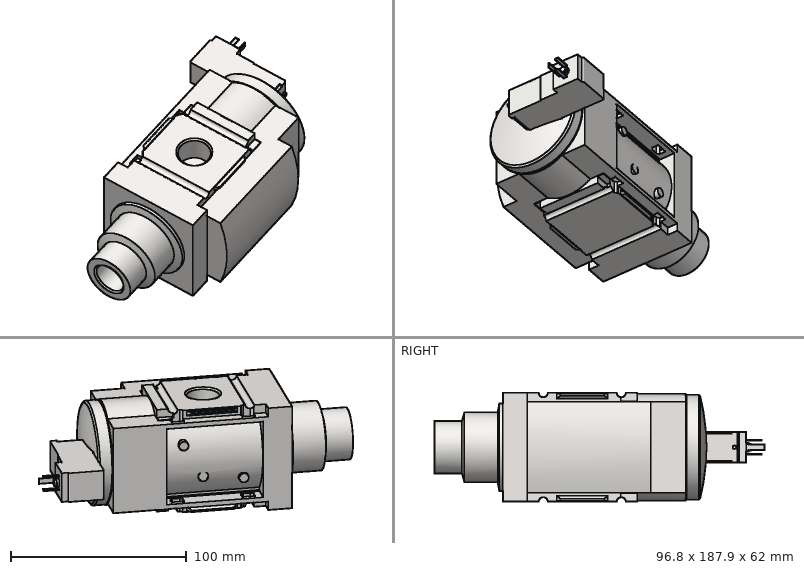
import cadquery as cq
import math


body_half = 31.0
body_front_y = -45.2
body_rear_y = 58.8
ledge_z = 25.8
ledge_front_y = -31.3
pad_rear_y = 31.2
pad_half_x = 24.3
arch_half_width = 15.0
arch_top_z = 30.5

groove_dia = 5.0
groove_y = 22.2
tab_length_x = 2.4
tab_root_half_y = 14.6
tab_tip_half_y = 12.4
tab_top_z = 30.4
tab_tip_bottom_z = 29.4
tab_root_bottom_z = 27.5
notch_x = 20.1
notch_start_y = 22.0
notch_floor_z = 26.2
latch_y = 20.6
latch_outer_x = -27.7
latch_shoulder_x = -23.7
latch_inner_x = -22.5
latch_half_y = 3.7
latch_inner_half_y = 2.1

port_dia = 18.63
port_mouth_dia = 20.7
port_depth = 16.0

pocket_center_y = -0.4
pocket_half_y = 28.1
pocket_half_z = 23.0
pocket_floor_chamfer = 0.6
barrel_radius = 29.0
barrel_half_z = 20.8
pin_root_x = -20.0
pocket_pins = [
    (17.4, 11.0, 5.5, -29.0),
    (5.9, -8.6, 5.8, -28.3),
    (-17.6, -11.0, 5.5, -29.0),
]

cover_rear_y = 39.0
cover_edge_x = 40.3
cover_crown_x = 44.9

flange_dia = 50.0
sleeve_dia = 40.0
spout_dia = 30.0
flange_edge_y = -47.2
sleeve_start_y = -48.2
sleeve_end_y = -67.1
spout_start_y = -68.5
spout_end_y = -84.15

cap_dia = 60.0
cap_neck_dia = 59.0
cap_neck_length = 0.5
cap_edge_y = 66.2
dome_dia = 57.6
dome_start_y = 67.2
dome_apex_y = 70.7

valve_half_z = 8.8
valve_left_x = -51.9
valve_joint_x = -22.0
valve_face_x = -0.7
valve_end_x = 1.1
valve_front_y = 68.8
coil_rear_y = 89.4
coil_fillet = 1.0
plug_right_x = -33.8
plug_rear_y = 93.2
block_rear_y = 88.9
block_root_y = 60.0
end_plate_rear_y = 84.9
end_plate_half_z = 7.8
block_corner = 0.8
button_dia = 2.01
button_y = 86.6
button_tip_x = 2.5

contact_x = -42.3
collars = [(5.0, 1.4), (3.8, 2.7)]
blade_thickness = 0.5
blade_width = 2.5
blade_tip_y = 102.0
blade_z = 4.0
earth_x = -38.2
earth_width = 3.2
earth_tip_y = 103.75


def block(x0, x1, y0, y1, z0, z1):
    """Box between opposite corners."""
    return cq.Workplane("XY").box(x1 - x0, y1 - y0, z1 - z0, centered=False).translate((x0, y0, z0))


def both_sides(shape):
    """A shape together with its mirror image below the XY plane."""
    return shape.union(shape.mirror("XY"))


def y_extrusion(profile, y0, y1):
    """Extrude a closed XZ profile (drawn on an XZ workplane at the origin) from y0 to y1."""
    return profile.extrude(-(y1 - y0)).translate((0, y0, 0))


def make_body():
    full_height = block(-body_half, body_half, body_front_y, ledge_front_y, -body_half, body_half)
    core = block(-body_half, body_half, ledge_front_y, body_rear_y, -ledge_z, ledge_z)
    pad = block(-pad_half_x, pad_half_x, ledge_front_y, pad_rear_y, -body_half, body_half)
    arch_profile = (
        cq.Workplane("XZ")
        .moveTo(-arch_half_width, ledge_z)
        .threePointArc((0, arch_top_z), (arch_half_width, ledge_z))
        .lineTo(arch_half_width, -ledge_z)
        .threePointArc((0, -arch_top_z), (-arch_half_width, -ledge_z))
        .close()
    )
    return full_height.union(core).union(pad).union(y_extrusion(arch_profile, pad_rear_y, body_rear_y))


def make_cover():
    profile = (
        cq.Workplane("XZ")
        .moveTo(body_half, -ledge_z)
        .lineTo(cover_edge_x, -ledge_z)
        .threePointArc((cover_crown_x, 0), (cover_edge_x, ledge_z))
        .lineTo(body_half, ledge_z)
        .close()
    )
    return y_extrusion(profile, ledge_front_y, cover_rear_y)


def make_tab(side):
    """Tapered tab on the pad flank; side is -1 or +1 along X."""
    root_x = side * pad_half_x
    tip_x = side * (pad_half_x + tab_length_x)
    plan = (
        cq.Workplane("XY")
        .polyline([
            (root_x, -tab_root_half_y),
            (tip_x, -tab_tip_half_y),
            (tip_x, tab_tip_half_y),
            (root_x, tab_root_half_y),
        ])
        .close()
        .extrude(body_half)
    )
    section = (
        cq.Workplane("XZ")
        .polyline([
            (root_x, tab_root_bottom_z),
            (tip_x, tab_tip_bottom_z),
            (tip_x, tab_top_z),
            (root_x, tab_top_z),
        ])
        .close()
    )
    return plan.intersect(y_extrusion(section, -tab_root_half_y, tab_root_half_y))


def make_groove(y):
    """Half-round groove across the pad."""
    return (
        cq.Workplane("YZ")
        .workplane(offset=-body_half)
        .center(y, body_half)
        .circle(groove_dia / 2)
        .extrude(2 * body_half)
    )


def make_pad_notch(side):
    """Corner relief beside the rear land of the pad."""
    x0, x1 = sorted((side * notch_x, side * pad_half_x))
    return block(x0, x1, notch_start_y, pad_rear_y, notch_floor_z, body_half)


def make_latch_slot(y):
    """Slot through the ledge into the pocket, with a tapered end in the pad flank."""
    return (
        cq.Workplane("XY")
        .workplane(offset=barrel_half_z)
        .polyline([
            (latch_outer_x, y - latch_half_y),
            (latch_shoulder_x, y - latch_half_y),
            (latch_inner_x, y - latch_inner_half_y),
            (latch_inner_x, y + latch_inner_half_y),
            (latch_shoulder_x, y + latch_half_y),
            (latch_outer_x, y + latch_half_y),
        ])
        .close()
        .extrude(body_half - barrel_half_z)
    )


def make_pocket():
    """Side pocket volume, leaving the round barrel standing inside it."""
    floor_x = -math.sqrt(barrel_radius**2 - barrel_half_z**2)
    front_y = pocket_center_y - pocket_half_y
    rear_y = pocket_center_y + pocket_half_y
    opening = block(-body_half, floor_x, front_y, rear_y, -pocket_half_z, pocket_half_z)
    opening = opening.edges("|Y and >X").chamfer(pocket_floor_chamfer)
    barrel = y_extrusion(cq.Workplane("XZ").circle(barrel_radius), front_y, rear_y)
    return opening.cut(barrel)


def make_pocket_pin(y, z, diameter, face_x):
    return (
        cq.Workplane("YZ")
        .workplane(offset=face_x)
        .center(y, z)
        .circle(diameter / 2)
        .extrude(pin_root_x - face_x)
    )


def make_port():
    """Blind hole along -Z from the XY plane, with a 45 degree chamfered mouth."""
    bore_radius = port_dia / 2
    mouth_radius = port_mouth_dia / 2
    return (
        cq.Workplane("XZ")
        .polyline([
            (0, 0),
            (mouth_radius, 0),
            (bore_radius, bore_radius - mouth_radius),
            (bore_radius, -port_depth),
            (0, -port_depth),
        ])
        .close()
        .revolve(360, (0, 0, 0), (0, 1, 0))
    )


def make_nozzle():
    return (
        cq.Workplane("XY")
        .polyline([
            (0, body_front_y),
            (flange_dia / 2, body_front_y),
            (flange_dia / 2, flange_edge_y),
            (sleeve_dia / 2, sleeve_start_y),
            (sleeve_dia / 2, sleeve_end_y),
            (spout_dia / 2, spout_start_y),
            (spout_dia / 2, spout_end_y),
            (0, spout_end_y),
        ])
        .close()
        .revolve(360, (0, 0, 0), (0, 1, 0))
    )


def make_cap():
    dome_radius = dome_dia / 2
    dome_height = dome_apex_y - dome_start_y
    sphere_radius = (dome_radius**2 + dome_height**2) / (2 * dome_height)
    mid_x = dome_radius / 2
    mid_y = dome_apex_y - sphere_radius + math.sqrt(sphere_radius**2 - mid_x**2)
    return (
        cq.Workplane("XY")
        .moveTo(0, body_rear_y)
        .lineTo(cap_neck_dia / 2, body_rear_y)
        .lineTo(cap_neck_dia / 2, body_rear_y + cap_neck_length)
        .lineTo(cap_dia / 2, body_rear_y + cap_neck_length)
        .lineTo(cap_dia / 2, cap_edge_y)
        .lineTo(dome_radius, dome_start_y)
        .threePointArc((mid_x, mid_y), (0, dome_apex_y))
        .close()
        .revolve(360, (0, 0, 0), (0, 1, 0))
    )


def make_coil():
    """Coil housing with the raised plug base at its rear."""
    plug_left_x = valve_left_x + coil_fillet
    housing = block(valve_left_x, valve_joint_x, valve_front_y, coil_rear_y, -valve_half_z, valve_half_z)
    housing = housing.edges("|Z and <X").fillet(coil_fillet)
    plug = block(plug_left_x, plug_right_x, valve_front_y, plug_rear_y, -valve_half_z, valve_half_z)
    return housing.union(plug)


def make_valve_block():
    main = block(valve_joint_x, valve_face_x, block_root_y, block_rear_y, -valve_half_z, valve_half_z)
    head = block(valve_face_x, valve_end_x, end_plate_rear_y, block_rear_y, -valve_half_z, valve_half_z)
    head = head.edges("|Z and >X and >Y").chamfer(block_corner)
    end_plate = block(
        valve_face_x, valve_end_x, block_root_y, end_plate_rear_y, -end_plate_half_z, end_plate_half_z
    )
    button = (
        cq.Workplane("YZ")
        .workplane(offset=valve_face_x)
        .center(button_y, 0)
        .circle(button_dia / 2)
        .extrude(button_tip_x - valve_face_x)
    )
    return main.union(head).union(end_plate).union(button)


def make_contacts():
    """Two flat blades, the earth blade and the stepped round collar."""
    contacts = block(
        earth_x - blade_thickness / 2,
        earth_x + blade_thickness / 2,
        coil_rear_y,
        earth_tip_y,
        -earth_width / 2,
        earth_width / 2,
    )
    for z in (-blade_z, blade_z):
        blade = block(
            contact_x - blade_width / 2,
            contact_x + blade_width / 2,
            coil_rear_y,
            blade_tip_y,
            z - blade_thickness / 2,
            z + blade_thickness / 2,
        )
        contacts = contacts.union(blade)
    for diameter, height in collars:
        collar = cq.Workplane("XZ").center(contact_x, 0).circle(diameter / 2)
        contacts = contacts.union(y_extrusion(collar, coil_rear_y, plug_rear_y + height))
    return contacts


result = make_body().union(make_cover())

for side in (-1, 1):
    result = result.union(both_sides(make_tab(side)))
    result = result.cut(both_sides(make_pad_notch(side)))

for y in (-groove_y, groove_y):
    result = result.cut(both_sides(make_groove(y)))

result = result.cut(make_pocket())

for y in (-latch_y, latch_y):
    result = result.cut(both_sides(make_latch_slot(y)))

for y, z, diameter, face_x in pocket_pins:
    result = result.union(make_pocket_pin(y, z, diameter, face_x))

result = result.union(make_nozzle()).union(make_cap())
result = result.union(make_valve_block()).union(make_coil()).union(make_contacts())

top_port = make_port().translate((0, 0, body_half))
spout_port = make_port().rotate((0, 0, 0), (1, 0, 0), 90).translate((0, spout_end_y, 0))
result = result.cut(top_port).cut(spout_port)